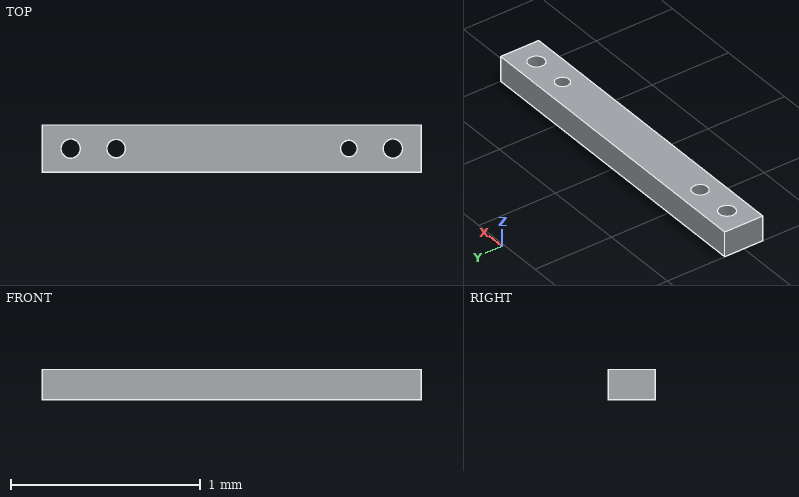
import cadquery as cq

length = 2.0
width = 0.25
height = 0.16

end_hole_inset = 0.15
holes = [
    (end_hole_inset, 0.1),
    (0.39, 0.095),
    (1.618, 0.085),
    (length - end_hole_inset, 0.1),
]

result = cq.Workplane("XY").box(length, width, height)

for distance, diameter in holes:
    result = (
        result.faces(">Z")
        .workplane(origin=(distance - length / 2, 0, 0))
        .circle(diameter / 2)
        .cutThruAll()
    )